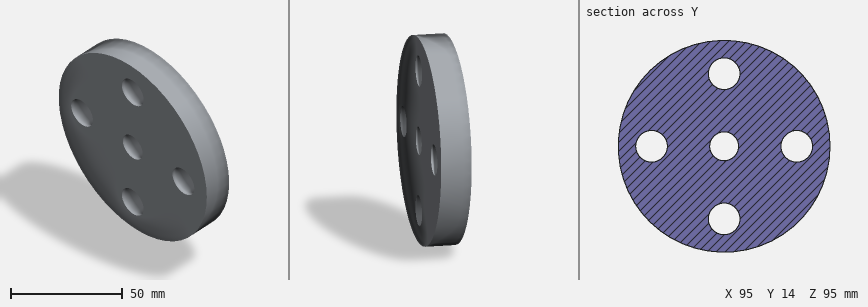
import cadquery as cq

disc_diameter = 95
thickness = 14.0
center_hole_diameter = 12.7
bolt_hole_diameter = 14.0
bolt_circle_diameter = 65.0
bolt_hole_count = 4

disc = cq.Workplane("XZ", origin=(0, thickness / 2, 0)).circle(disc_diameter / 2).extrude(thickness)

bored_disc = disc.faces("<Y").workplane(origin=(0, 0, 0)).hole(center_hole_diameter)

result = (
    bored_disc.faces("<Y")
    .workplane(origin=(0, 0, 0))
    .polarArray(bolt_circle_diameter / 2, 0, 360, bolt_hole_count)
    .hole(bolt_hole_diameter)
)